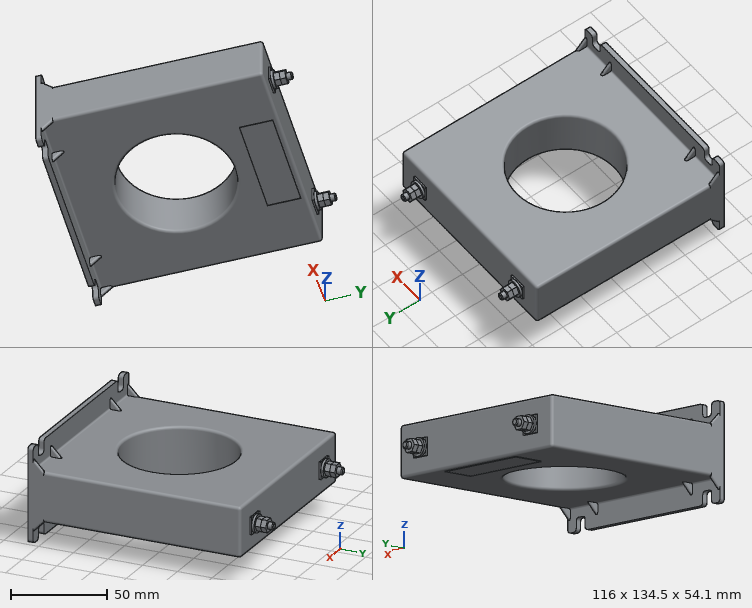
import cadquery as cq
import math


width = 116.0
block_length = 122.8
block_height = 28.2
edge_radius = 1.6
plate_height = 54.1
plate_thickness = 3.1
plate_fillet = 1.0

slot_width = 6.6
slot_depth = 7.5
slot_x = width / 2 - 9.8
plate_corner_radius = 2.0

bore_diameter = 63.9
bore_y = 59.9

rib_width = 2.0
rib_end_y = 9.1
rib_edge_x = (width - rib_width) / 2
rib_inner_x = width / 2 - 21.9

terminal_x = 41.8
stud_tip_y = 134.5
stud_diameter = 4.0
stud_chamfer = 0.5
pad_width = 9.8
pad_thickness = 1.0
collar_diameter = 10.1
collar_thickness = 1.5
nut_across_flats = 7.0
nut_thickness = 3.1
nuts_per_terminal = 2
collar_y = block_length + pad_thickness
nut_seat_y = collar_y + collar_thickness

label_width = 53.8
label_length = 18.0
label_thickness = 0.4
label_y = 110.5


def plane_at(x, y):
    """Sketch plane across the Y axis, with its normal along +Y and its own X along +X."""
    return cq.Workplane(cq.Plane(origin=(x, y, 0), xDir=(1, 0, 0), normal=(0, 1, 0)))


def make_block():
    """Block rounded on its long edges and at its far end."""
    block = plane_at(0, 0).rect(width, block_height).extrude(block_length)
    return block.edges("|Y").fillet(edge_radius).faces(">Y").edges().fillet(edge_radius)


def make_plate():
    """Mounting plate with four open slots and every corner rounded."""
    plate = plane_at(0, 0).rect(width, plate_height).extrude(plate_thickness)
    slot_places = [(x, z) for x in (-slot_x, slot_x) for z in (-plate_height / 2, plate_height / 2)]
    slots = plane_at(0, 0).pushPoints(slot_places).rect(slot_width, 2 * slot_depth).extrude(plate_thickness)
    return plate.cut(slots).edges("|Y").fillet(plate_corner_radius)


def make_root_fillet(side):
    """Concave fillet where the block's upper (side = 1) or lower (side = -1) face meets the plate."""
    z = side * block_height / 2
    z_tip = z + side * plate_fillet
    y_tip = plate_thickness + plate_fillet
    arc_reach = plate_fillet * (1 - math.sqrt(0.5))
    return (
        cq.Workplane("YZ", origin=(-rib_edge_x, 0, 0))
        .moveTo(plate_thickness, z)
        .lineTo(y_tip, z)
        .threePointArc((plate_thickness + arc_reach, z + side * arc_reach), (plate_thickness, z_tip))
        .close()
        .extrude(2 * rib_edge_x)
    )


def make_rib(x):
    """45 degree gusset pair, above and below the block, with half-round crests."""
    crest_radius = rib_width / 2
    z_low = block_height / 2
    z_high = z_low + rib_end_y - plate_thickness
    gusset = (
        cq.Workplane("YZ", origin=(x - crest_radius, 0, 0))
        .polyline([(plate_thickness, 0), (rib_end_y, 0), (rib_end_y, z_low), (plate_thickness, z_high)])
        .close()
        .extrude(rib_width)
    )
    slope_plane = cq.Plane(origin=(x, rib_end_y, z_low), xDir=(1, 0, 0), normal=(0, -1, 1))
    round_bar = (
        cq.Workplane(slope_plane)
        .moveTo(-crest_radius, -plate_height)
        .lineTo(-crest_radius, -crest_radius)
        .threePointArc((0, 0), (crest_radius, -crest_radius))
        .lineTo(crest_radius, -plate_height)
        .close()
        .extrude(plate_height, both=True)
    )
    upper_rib = gusset.intersect(round_bar)
    return upper_rib.union(upper_rib.mirror("XY"))


def make_bore():
    """Cutter for the through bore, flared at both mouths by the edge radius."""
    radius = bore_diameter / 2
    mouth_radius = radius + edge_radius
    z_face = block_height / 2
    z_round = z_face - edge_radius
    arc_reach = edge_radius * (1 - math.sqrt(0.5))
    return (
        cq.Workplane("XZ", origin=(0, bore_y, 0))
        .moveTo(0, -z_face)
        .lineTo(mouth_radius, -z_face)
        .threePointArc((radius + arc_reach, arc_reach - z_face), (radius, -z_round))
        .lineTo(radius, z_round)
        .threePointArc((radius + arc_reach, z_face - arc_reach), (mouth_radius, z_face))
        .lineTo(0, z_face)
        .close()
        .revolve(360, (0, 0, 0), (0, 1, 0))
    )


def make_housing():
    housing = make_block().union(make_plate())
    for side in (-1, 1):
        housing = housing.union(make_root_fillet(side))
    for x in (-rib_edge_x, -rib_inner_x, rib_inner_x, rib_edge_x):
        housing = housing.union(make_rib(x))
    return housing.cut(make_bore())


def make_label():
    """Thin rectangular label plate under the block, beyond the bore."""
    top_z = -block_height / 2
    label = cq.Workplane("XY", origin=(0, label_y, top_z)).rect(label_width, label_length)
    return label.extrude(-label_thickness)


def make_stud(x):
    """Terminal stud standing on a square pad and a round collar."""
    pad = plane_at(x, block_length).rect(pad_width, pad_width).extrude(pad_thickness)
    collar = plane_at(x, collar_y).circle(collar_diameter / 2).extrude(collar_thickness)
    shank = plane_at(x, nut_seat_y).circle(stud_diameter / 2).extrude(stud_tip_y - nut_seat_y)
    return pad.union(collar).union(shank.faces(">Y").chamfer(stud_chamfer))


def make_nut(x, y):
    """Hexagon nut with two corners along X."""
    across_corners = nut_across_flats / math.cos(math.radians(30))
    return plane_at(x, y).polygon(6, across_corners).circle(stud_diameter / 2).extrude(nut_thickness)


housing = make_housing()
label = make_label()
studs = []
nuts = []
for x in (-terminal_x, terminal_x):
    studs.append(make_stud(x).solids().val())
    for i in range(nuts_per_terminal):
        nuts.append(make_nut(x, nut_seat_y + i * nut_thickness).val())

result = cq.Compound.makeCompound([housing.solids().val(), label.val(), *studs, *nuts])